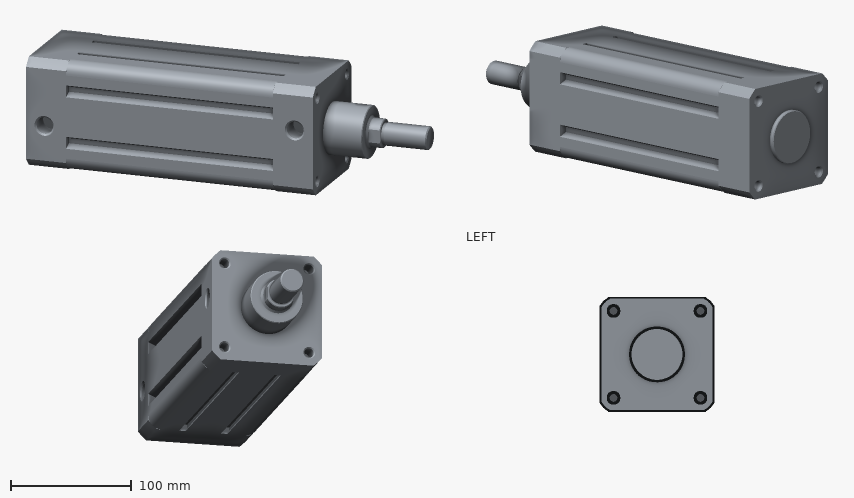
import cadquery as cq
OVERALL_LENGTH = 343.0

CAP_SIZE = 94.0
CAP_LENGTH = 35.5
CAP_CORNER_DIAMETER = 123.0
BOSS_DIAMETER = 45.0
BOSS_CHAMFER = 0.7
REAR_BOSS_LENGTH = 3.8
FRONT_BOSS_LENGTH = 34.3

MOUNT_SPACING = 72.0
MOUNT_DIAMETER = 8.0
MOUNT_CHAMFER = 1.0
MOUNT_DEPTH = 17.0

PORT_DIAMETER = 14.5
PORT_CHAMFER = 1.5
PORT_DEPTH = 17.0
PORT_OFFSET_Z = 9.5
PORT_FROM_OUTER_FACE = 16.0

BARREL_LENGTH = 182.0
BARREL_CORNER_RADIUS = 11.0
SIDE_SLOT_OFFSET = 22.3
SIDE_SLOT_MOUTH = 10.3
SIDE_SLOT_FLOOR = 4.5
SIDE_SLOT_DEPTH = 7.0
TOP_SLOT_OFFSET = 18.0
TOP_SLOT_MOUTH = 5.5
TOP_SLOT_LIP = 1.0
TOP_SLOT_WIDTH = 8.2
TOP_SLOT_DEPTH = 5.5

WIPER_BASE_RADIUS = 14.0
WIPER_LENGTH = 1.7

ROD_RADIUS = 12.5
SHOULDER_CHAMFER = 0.7
FLAT_WIDTH = 22.0
SHOULDER_LENGTH = 12.0
NECK_RADIUS = 9.3
NECK_LENGTH = 2.7
THREAD_RADIUS = 10.0
THREAD_CHAMFER = 1.0

REAR_CAP_START = REAR_BOSS_LENGTH
BARREL_START = REAR_CAP_START + CAP_LENGTH
FRONT_CAP_START = BARREL_START + BARREL_LENGTH
FRONT_CAP_END = FRONT_CAP_START + CAP_LENGTH
FRONT_BOSS_END = FRONT_CAP_END + FRONT_BOSS_LENGTH
WIPER_END = FRONT_BOSS_END + WIPER_LENGTH
SHOULDER_END = FRONT_BOSS_END + SHOULDER_LENGTH
THREAD_START = SHOULDER_END + NECK_LENGTH

HALF_SIZE = CAP_SIZE / 2


def plane_at(x):
    """Plane across the axis at x: local x is +Y, local y is +Z, normal is +X."""
    return cq.Workplane("YZ", origin=(x, 0, 0))


def countersunk_tool(diameter, chamfer, depth, point, direction):
    """Cutter for a blind hole with a chamfered mouth at the given point."""
    radius = diameter / 2
    hole = cq.Solid.makeCylinder(radius, depth, point, direction)
    mouth = cq.Solid.makeCone(radius + chamfer, radius, chamfer, point, direction)
    return cq.Workplane(hole.fuse(mouth))


def make_cap(start, outer_face, inward, port_z):
    """Square cap block with turned corners, mounting holes in its outer face and one air port."""
    cap = plane_at(start).rect(CAP_SIZE, CAP_SIZE).extrude(CAP_LENGTH)
    turned_corners = plane_at(start).circle(CAP_CORNER_DIAMETER / 2).extrude(CAP_LENGTH)
    cap = cap.intersect(turned_corners)

    inward_direction = cq.Vector(inward, 0, 0)
    for side_y in (-1, 1):
        for side_z in (-1, 1):
            point = cq.Vector(outer_face, side_y * MOUNT_SPACING / 2, side_z * MOUNT_SPACING / 2)
            cap = cap.cut(
                countersunk_tool(MOUNT_DIAMETER, MOUNT_CHAMFER, MOUNT_DEPTH, point, inward_direction)
            )

    port_point = cq.Vector(outer_face + inward * PORT_FROM_OUTER_FACE, -HALF_SIZE, port_z)
    return cap.cut(
        countersunk_tool(PORT_DIAMETER, PORT_CHAMFER, PORT_DEPTH, port_point, cq.Vector(0, 1, 0))
    )


def make_rear_cap():
    """Rear cap with its short chamfered boss."""
    cap = make_cap(REAR_CAP_START, REAR_CAP_START, 1, -PORT_OFFSET_Z)
    boss = plane_at(0).circle(BOSS_DIAMETER / 2).extrude(REAR_BOSS_LENGTH)
    boss = boss.faces("<X").edges().chamfer(BOSS_CHAMFER)
    return cap.union(boss)


def make_front_cap():
    """Front cap with its long boss, wiper lip and rod bore."""
    cap = make_cap(FRONT_CAP_START, FRONT_CAP_END, -1, PORT_OFFSET_Z)
    boss = plane_at(FRONT_CAP_END).circle(BOSS_DIAMETER / 2).extrude(FRONT_BOSS_LENGTH)
    boss = boss.faces(">X").edges().chamfer(BOSS_CHAMFER)
    wiper = cq.Workplane(
        cq.Solid.makeCone(
            WIPER_BASE_RADIUS,
            ROD_RADIUS,
            WIPER_LENGTH,
            cq.Vector(FRONT_BOSS_END, 0, 0),
            cq.Vector(1, 0, 0),
        )
    )
    bore = plane_at(FRONT_CAP_START).circle(ROD_RADIUS).extrude(WIPER_END - FRONT_CAP_START)
    return cap.union(boss).union(wiper).cut(bore)


def make_barrel():
    """Extruded profile with tapered slots along its +/-Y sides and T-slots along top and bottom."""
    barrel = plane_at(BARREL_START).rect(CAP_SIZE, CAP_SIZE).extrude(BARREL_LENGTH)
    barrel = barrel.edges("|X").fillet(BARREL_CORNER_RADIUS)

    side_slot = (
        plane_at(BARREL_START)
        .moveTo(-HALF_SIZE, SIDE_SLOT_OFFSET - SIDE_SLOT_MOUTH / 2)
        .lineTo(-HALF_SIZE, SIDE_SLOT_OFFSET + SIDE_SLOT_MOUTH / 2)
        .lineTo(-HALF_SIZE + SIDE_SLOT_DEPTH, SIDE_SLOT_OFFSET + SIDE_SLOT_FLOOR / 2)
        .lineTo(-HALF_SIZE + SIDE_SLOT_DEPTH, SIDE_SLOT_OFFSET - SIDE_SLOT_FLOOR / 2)
        .close()
        .extrude(BARREL_LENGTH)
    )

    lip_underside = HALF_SIZE - TOP_SLOT_LIP
    slot_floor = HALF_SIZE - TOP_SLOT_DEPTH
    top_slot_mouth = (
        plane_at(BARREL_START)
        .center(TOP_SLOT_OFFSET, (HALF_SIZE + slot_floor) / 2)
        .rect(TOP_SLOT_MOUTH, TOP_SLOT_DEPTH)
        .extrude(BARREL_LENGTH)
    )
    top_slot_undercut = (
        plane_at(BARREL_START)
        .center(TOP_SLOT_OFFSET, (lip_underside + slot_floor) / 2)
        .rect(TOP_SLOT_WIDTH, lip_underside - slot_floor)
        .extrude(BARREL_LENGTH)
    )
    top_slot = top_slot_mouth.union(top_slot_undercut)

    for slot in (side_slot, top_slot):
        for half in (slot, slot.mirror("XY")):
            barrel = barrel.cut(half).cut(half.mirror("XZ"))
    return barrel


def make_piston_rod():
    """Rod with wrench flats facing -Y and +Y, a relief neck and a threaded end."""
    shoulder = plane_at(FRONT_CAP_START).circle(ROD_RADIUS).extrude(SHOULDER_END - FRONT_CAP_START)
    shoulder = shoulder.faces(">X").edges().chamfer(SHOULDER_CHAMFER)
    for side in (-1, 1):
        flat_cut = (
            plane_at(WIPER_END)
            .center(side * (FLAT_WIDTH / 2 + ROD_RADIUS), 0)
            .rect(2 * ROD_RADIUS, 2 * ROD_RADIUS)
            .extrude(SHOULDER_END - WIPER_END)
        )
        shoulder = shoulder.cut(flat_cut)

    neck = plane_at(SHOULDER_END).circle(NECK_RADIUS).extrude(NECK_LENGTH)
    thread = plane_at(THREAD_START).circle(THREAD_RADIUS).extrude(OVERALL_LENGTH - THREAD_START)
    thread = thread.faces(">X").edges().chamfer(THREAD_CHAMFER)
    return shoulder.union(neck).union(thread)


rear_cap = make_rear_cap()
barrel = make_barrel()
front_cap = make_front_cap()
piston_rod = make_piston_rod()

result = cq.Compound.makeCompound(
    [rear_cap.val(), barrel.val(), front_cap.val(), piston_rod.val()]
)